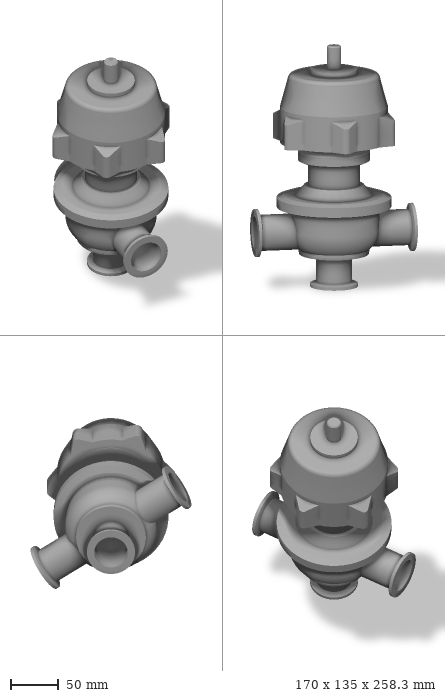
import cadquery as cq
import math

height = 258.3
port_span = 170.0

tube_radius = 19.0
bore_radius = 17.5
ferrule_radius = 25.3
ferrule_rim = 3.4
ferrule_thickness = 5.2
port_axis_z = 60.2

body_radius = 48.0
body_arc_radius = 25.0
body_split_z = 61.2
body_bottom_z = 40.0
collar_radius = 37.2
collar_bottom_z = 34.9
collar_taper_height = 2.3
collar_taper_width = 0.5

body_clamp_radius = 60.5
body_clamp_face_radius = 53.0
body_clamp_bottom_z = 83.0
body_clamp_top_z = 98.5
bonnet_base_radius = 40.8
bonnet_top_radius = 31.5
bonnet_top_z = 109.0

neck_radius = 55.0 / 2
upper_neck_radius = 54.0 / 2
neck_clamp_radius = 38.0
neck_clamp_face_radius = 32.0
neck_clamp_bottom_z = 133.0
neck_clamp_top_z = 147.5
clamp_bevel_height = 2.5

cap_lip_radius = 47.5
cap_lip_bottom_z = 154.0
cap_bottom_z = 155.0
cap_radius = 114.0 / 2
cap_shoulder_z = 192.7
cap_taper_top_radius = 48.5
cap_taper_top_z = 223.7
cap_top_z = 228.3
cap_face_radius = 43.0
disc_radius = 25.0
disc_top_z = 233.5
spindle_radius = 7.5
spindle_chamfer = 1.3

lug_count = 6
lug_tip_radius = 135.0 / 2
lug_root_radius = 55.0
lug_root_half_width = 14.2
lug_nose_radius = 5.7
lug_flank_angle = 42.0
lug_top_root_z = 187.3
lug_top_tip_z = 181.3


def cylinder(radius, bottom, top):
    return cq.Workplane("XY").workplane(offset=bottom).circle(radius).extrude(top - bottom)


def revolve_profile(profile):
    """Close an XZ outline onto the Z axis and turn it into a solid."""
    return profile.close().revolve(360, (0, 0, 0), (0, 1, 0))


def clamp_ring(radius, face_radius, bottom, top):
    return revolve_profile(
        cq.Workplane("XZ")
        .moveTo(0, bottom)
        .lineTo(face_radius, bottom)
        .lineTo(radius, bottom + clamp_bevel_height)
        .lineTo(radius, top - clamp_bevel_height)
        .lineTo(face_radius, top)
        .lineTo(0, top)
    )


def port(length):
    """Solid tube along +Z with its clamp ferrule face at Z = 0."""
    return revolve_profile(
        cq.Workplane("XZ")
        .lineTo(ferrule_radius, 0)
        .lineTo(ferrule_radius, ferrule_rim)
        .lineTo(tube_radius, ferrule_thickness)
        .lineTo(tube_radius, length)
        .lineTo(0, length)
    )


def hollow_port(length):
    return port(length).cut(cylinder(bore_radius, 0, length))


def body():
    drop = body_split_z - body_bottom_z
    arc_center_r = body_radius - body_arc_radius
    bottom_radius = arc_center_r + math.sqrt(body_arc_radius**2 - drop**2)
    half_angle = math.asin(drop / body_arc_radius) / 2
    arc_middle = (
        arc_center_r + body_arc_radius * math.cos(half_angle),
        body_split_z - body_arc_radius * math.sin(half_angle),
    )
    shell = revolve_profile(
        cq.Workplane("XZ")
        .moveTo(0, body_clamp_bottom_z)
        .lineTo(body_radius, body_clamp_bottom_z)
        .lineTo(body_radius, body_split_z)
        .threePointArc(arc_middle, (bottom_radius, body_bottom_z))
        .lineTo(0, body_bottom_z)
    )
    collar = cylinder(collar_radius, collar_bottom_z, body_bottom_z)
    collar = collar.faces("<Z").chamfer(collar_taper_height, collar_taper_width)
    return shell.union(collar)


def bonnet():
    cone = revolve_profile(
        cq.Workplane("XZ")
        .moveTo(0, body_clamp_top_z)
        .lineTo(bonnet_base_radius, body_clamp_top_z)
        .lineTo(bonnet_top_radius, bonnet_top_z)
        .lineTo(0, bonnet_top_z)
    )
    neck = cylinder(neck_radius, bonnet_top_z, neck_clamp_bottom_z)
    upper_neck = cylinder(upper_neck_radius, neck_clamp_top_z, cap_lip_bottom_z)
    return cone.union(neck).union(upper_neck)


def cap():
    rounding_height = cap_top_z - cap_taper_top_z
    rounding_width = cap_taper_top_radius - cap_face_radius
    rounding_middle = (
        cap_face_radius + rounding_width * math.cos(math.pi / 4),
        cap_taper_top_z + rounding_height * math.sin(math.pi / 4),
    )
    dome = revolve_profile(
        cq.Workplane("XZ")
        .moveTo(0, cap_bottom_z)
        .lineTo(cap_radius, cap_bottom_z)
        .lineTo(cap_radius, cap_shoulder_z)
        .lineTo(cap_taper_top_radius, cap_taper_top_z)
        .threePointArc(rounding_middle, (cap_face_radius, cap_top_z))
        .lineTo(0, cap_top_z)
    )
    lip = cylinder(cap_lip_radius, cap_lip_bottom_z, cap_bottom_z)
    disc = cylinder(disc_radius, cap_top_z, disc_top_z)
    spindle = cylinder(spindle_radius, disc_top_z, height).faces(">Z").chamfer(spindle_chamfer)
    return dome.union(lip).union(disc).union(spindle)


def lug():
    """Triangular lug pointing along +Y with a rounded nose and a conical top."""
    flank = math.radians(lug_flank_angle)
    nose_half_width = lug_nose_radius * math.cos(flank)
    nose_y = lug_tip_radius - lug_nose_radius * (1 - math.sin(flank))
    plan = (
        cq.Workplane("XY")
        .workplane(offset=cap_bottom_z)
        .lineTo(lug_root_half_width, 0)
        .lineTo(lug_root_half_width, lug_root_radius)
        .lineTo(nose_half_width, nose_y)
        .threePointArc((0, lug_tip_radius), (-nose_half_width, nose_y))
        .lineTo(-lug_root_half_width, lug_root_radius)
        .lineTo(-lug_root_half_width, 0)
        .close()
        .extrude(lug_top_root_z - cap_bottom_z)
    )
    sloping_top = revolve_profile(
        cq.Workplane("XZ")
        .moveTo(0, cap_bottom_z)
        .lineTo(lug_tip_radius, cap_bottom_z)
        .lineTo(lug_tip_radius, lug_top_tip_z)
        .lineTo(cap_radius, lug_top_root_z)
        .lineTo(0, lug_top_root_z)
    )
    return plan.intersect(sloping_top)


side_port = hollow_port(port_span / 2).rotate((0, 0, 0), (0, 1, 0), 90)
left_port = side_port.translate((-port_span / 2, 0, port_axis_z))
right_port = left_port.mirror("YZ")

result = (
    left_port.union(right_port)
    .union(body())
    .union(hollow_port(collar_bottom_z))
    .union(clamp_ring(body_clamp_radius, body_clamp_face_radius, body_clamp_bottom_z, body_clamp_top_z))
    .union(bonnet())
    .union(clamp_ring(neck_clamp_radius, neck_clamp_face_radius, neck_clamp_bottom_z, neck_clamp_top_z))
    .union(cap())
)
for index in range(lug_count):
    result = result.union(lug().rotate((0, 0, 0), (0, 0, 1), index * 360 / lug_count))